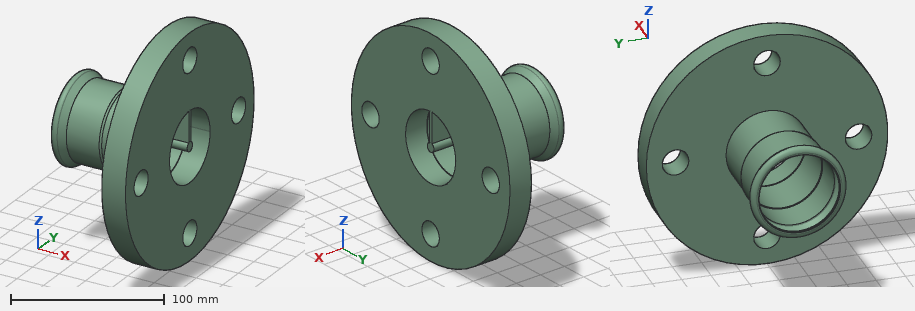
import cadquery as cq
import math

total_length = 86.8

flange_diameter = 165
flange_thickness = 18
flange_bore_diameter = 52
bolt_hole_diameter = 18
bolt_circle_diameter = 125
bolt_hole_count = 4

tab_width = 2.5
tab_end_diameter = 6.8

mouth_diameter = 55
mouth_chamfer = 0.5
socket_outer_diameter = 57.5
socket_inner_diameter = 54.4
neck_outer_diameter = 56
neck_inner_diameter = 53
bead_diameter = 65.4
bead_round = 3.6
bead_cone_angle = math.radians(34)
socket_lead_in = 0.8
socket_end = 35.3
step_length = 1.5

wall = (neck_outer_diameter - neck_inner_diameter) / 2
flange_face = total_length - flange_thickness


def point_on_arc(centre, radius, angle):
    """Point at an angle, measured from the X direction, on an arc about a centre."""
    return (centre[0] + radius * math.cos(angle), centre[1] + radius * math.sin(angle))


def make_pipe():
    """Turned pipe with a hollow bead, a tapered step outside and a square step inside."""
    mouth_radius = mouth_diameter / 2
    socket_outer = socket_outer_diameter / 2
    socket_inner = socket_inner_diameter / 2
    neck_outer = neck_outer_diameter / 2
    neck_inner = neck_inner_diameter / 2
    neck_start = socket_end + step_length

    bead_centre = (bead_round, bead_diameter / 2 - bead_round)
    groove_round = bead_round - wall
    arc_start_angle = math.pi
    arc_end_angle = math.pi / 2 - bead_cone_angle
    arc_middle_angle = (arc_start_angle + arc_end_angle) / 2

    outer_arc_middle = point_on_arc(bead_centre, bead_round, arc_middle_angle)
    outer_arc_end = point_on_arc(bead_centre, bead_round, arc_end_angle)
    groove_arc_middle = point_on_arc(bead_centre, groove_round, arc_middle_angle)
    groove_arc_end = point_on_arc(bead_centre, groove_round, arc_end_angle)
    cone_end_x = outer_arc_end[0] + (outer_arc_end[1] - socket_outer) / math.tan(bead_cone_angle)
    groove_end_x = groove_arc_end[0] + (groove_arc_end[1] - mouth_radius) / math.tan(bead_cone_angle)

    profile = (
        cq.Workplane("XY")
        .moveTo(mouth_chamfer, mouth_radius)
        .lineTo(0, mouth_radius + mouth_chamfer)
        .lineTo(0, bead_centre[1])
        .threePointArc(outer_arc_middle, outer_arc_end)
        .lineTo(cone_end_x, socket_outer)
        .lineTo(socket_end, socket_outer)
        .lineTo(neck_start, neck_outer)
        .lineTo(flange_face, neck_outer)
        .lineTo(flange_face, neck_inner)
        .lineTo(socket_end, neck_inner)
        .lineTo(socket_end, socket_inner)
        .lineTo(groove_end_x + socket_lead_in, socket_inner)
        .lineTo(groove_end_x, mouth_radius)
        .lineTo(*groove_arc_end)
        .threePointArc(groove_arc_middle, (wall, bead_centre[1]))
        .lineTo(wall, mouth_radius)
        .close()
    )
    return profile.revolve(360, (0, 0, 0), (1, 0, 0))


def make_flange():
    """Flat flange with a bore, a ring of bolt holes and the tab inside the bore."""
    face = cq.Workplane("YZ", origin=(flange_face, 0, 0))
    disc = (
        face.circle(flange_diameter / 2)
        .circle(flange_bore_diameter / 2)
        .extrude(flange_thickness)
    )
    bolt_holes = (
        face.polarArray(bolt_circle_diameter / 2, 0, 360, bolt_hole_count)
        .circle(bolt_hole_diameter / 2)
        .extrude(flange_thickness)
    )
    arm_length = neck_inner_diameter / 2
    tab_arm = (
        face.center(0, arm_length / 2)
        .rect(tab_width, arm_length)
        .extrude(flange_thickness)
    )
    tab_end = face.circle(tab_end_diameter / 2).extrude(flange_thickness)
    return disc.cut(bolt_holes).union(tab_arm).union(tab_end)


pipe = make_pipe()
flange = make_flange()

result = cq.Compound.makeCompound([pipe.val(), flange.val()])